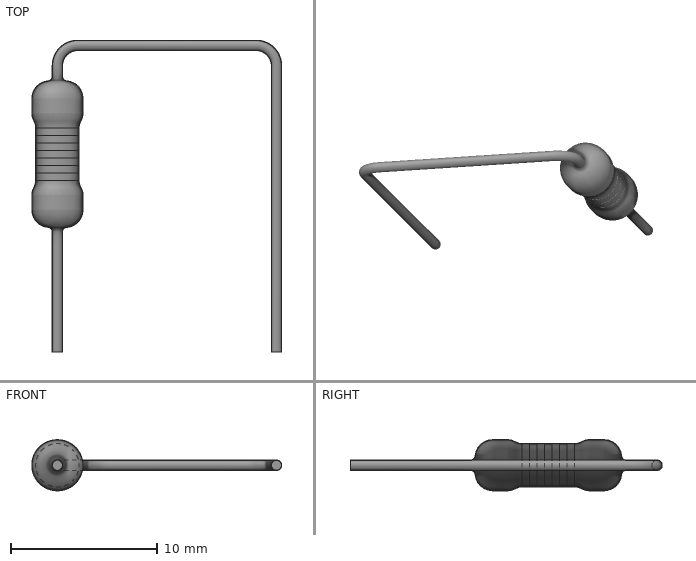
import cadquery as cq
import math

overall_length = 21.35
overall_width = 17.1
lead_radius = 0.7 / 2
bend_radius = 1.39

cap_radius = 3.5 / 2
core_radius = 2.97 / 2
band_radius = 2.99 / 2
band_pitch = 0.51
band_count = 4
shoulder_length = 1.0
cap_straight_length = 1.0
dome_radius = 1.22
neck_fillet_radius = 0.3
lead_end_y = -13.55

lead_spacing = overall_width - cap_radius - lead_radius
crossbar_y = lead_end_y + overall_length - lead_radius

core_half_length = (2 * band_count - 1) * band_pitch / 2
shoulder_end = core_half_length + shoulder_length
dome_start = shoulder_end + cap_straight_length

dome_center_radius = cap_radius - dome_radius
neck_center_radius = lead_radius + neck_fillet_radius
center_distance = dome_radius + neck_fillet_radius
neck_offset = neck_center_radius - dome_center_radius
neck_end = dome_start + math.sqrt(center_distance**2 - neck_offset**2)
tangency_ratio = dome_radius / center_distance
dome_end_radius = dome_center_radius + neck_offset * tangency_ratio
dome_end = dome_start + (neck_end - dome_start) * tangency_ratio


def make_body_end():
    """Revolve the +Y end: S-shaped shoulder, cap, dome and neck."""
    shoulder_mid = ((core_radius + cap_radius) / 2, core_half_length + shoulder_length / 2)
    rise = shoulder_mid[0] - core_radius
    run = shoulder_length / 2
    arc_radius = (rise**2 + run**2) / (2 * rise)
    half_angle = math.asin(run / arc_radius) / 2
    shoulder_quarter = (
        core_radius + arc_radius * (1 - math.cos(half_angle)),
        core_half_length + arc_radius * math.sin(half_angle),
    )
    profile = (
        cq.Workplane("XY")
        .moveTo(0, core_half_length)
        .lineTo(core_radius, core_half_length)
        .threePointArc(shoulder_quarter, shoulder_mid)
        .tangentArcPoint((cap_radius, shoulder_end), relative=False)
        .lineTo(cap_radius, dome_start)
        .tangentArcPoint((dome_end_radius, dome_end), relative=False)
        .tangentArcPoint((lead_radius, neck_end), relative=False)
        .lineTo(0, neck_end)
        .close()
    )
    return profile.revolve(360, (0, 0, 0), (0, 1, 0))


def make_disc(radius, start_y, length):
    return cq.Workplane("XZ", origin=(0, start_y, 0)).circle(radius).extrude(-length)


def make_lead():
    """Sweep the round wire along both legs, both bends and the crossbar."""
    bend_start_y = crossbar_y - bend_radius
    path = (
        cq.Workplane("XY")
        .moveTo(0, lead_end_y)
        .lineTo(0, bend_start_y)
        .tangentArcPoint((bend_radius, crossbar_y), relative=False)
        .lineTo(lead_spacing - bend_radius, crossbar_y)
        .tangentArcPoint((lead_spacing, bend_start_y), relative=False)
        .lineTo(lead_spacing, lead_end_y)
    )
    section = cq.Workplane("XZ", origin=(0, lead_end_y, 0)).circle(lead_radius)
    return section.sweep(path)


body_end = make_body_end()
core = make_disc(core_radius, -core_half_length, 2 * core_half_length)
body = core.union(body_end).union(body_end.mirror("XZ"))
for band_index in range(band_count):
    band_start = -core_half_length + 2 * band_index * band_pitch
    body = body.union(make_disc(band_radius, band_start, band_pitch))

result = body.union(make_lead())